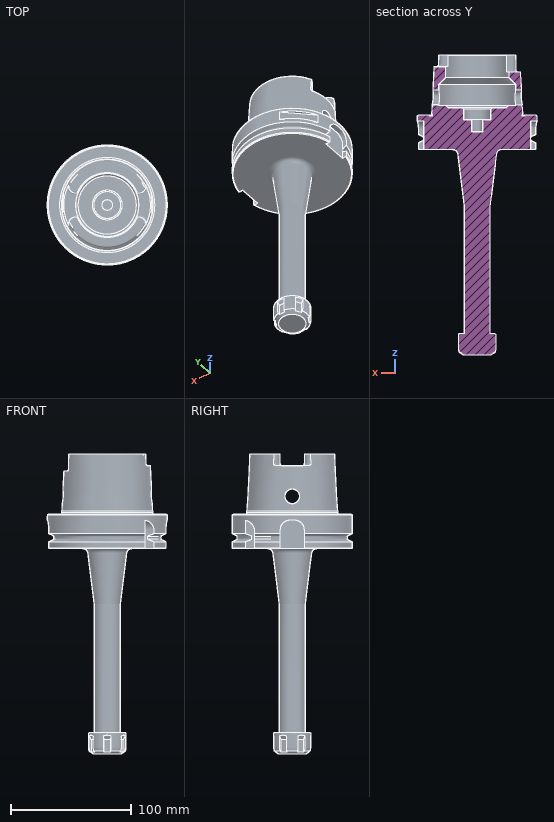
import math

import cadquery as cq


SHANK_TOP = 50.0
SHANK_BASE_RADIUS = 38.0
TAPER_SLOPE = 1 / 20
SHANK_TOP_FILLET = 1.2
COLLAR_RADIUS = 38.2
COLLAR_HEIGHT = 2.5
COLLAR_EDGE = 1.3
COLLAR_FOOT_RADIUS = 37.6
FACE_RECESS_RADIUS = 39.6
FACE_RECESS_DEPTH = 0.8

BORE_RADIUS = 26.3
BORE_RIM_CHAMFER = 0.7
BORE_STRAIGHT_END = 31.0
UNDERCUT_RADIUS = 32.0
BORE_FLOOR = 8.0
FLOOR_RECESS_RADIUS = 24.2
FLOOR_RECESS_DEPTH = 2.0
WELL_RADIUS = 11.2
WELL_CHAMFER = 1.2
WELL_DEPTH = 10.0
COOLANT_RADIUS = 4.4
COOLANT_DEPTH = 10.0
CROSS_HOLE_DIAMETER = 12.0
CROSS_HOLE_HEIGHT = 14.6

NOTCH_WIDTH = 20.0
NOTCH_INNER_X = 20.0
NOTCH_SHOULDER_X = 32.3
NOTCH_CORNER_RADIUS = 6.0
NOTCH_FLOOR_FILLET = 1.8
NOTCH_FLOOR_LEFT = 35.7
NOTCH_FLOOR_RIGHT = 40.2

FLANGE_RADIUS = 50.0
FLANGE_BOTTOM = -29.0
FLANGE_TOP_CHAMFER = 1.0
FLANGE_BOTTOM_CHAMFER = 0.7
GROOVE_MIDDLE = -19.8
GROOVE_MOUTH = 6.8
GROOVE_FLOOR_WIDTH = 2.8
GROOVE_FLOOR_RADIUS = 46.0
GROOVE_FILLET = 0.8

KEYWAY_WIDTH_LEFT = 22.2
KEYWAY_WIDTH_RIGHT = 20.0
KEYWAY_TOP = -5.2
KEYWAY_CORNER_RADIUS = 8.0
KEYWAY_FLOOR_X = 44.7
SIDE_NOTCH_FLOOR_X = 31.3
SIDE_NOTCH_WALL_Y = -31.3
SIDE_NOTCH_RADIUS = 9.5
SIDE_NOTCH_TOP = -5.2
LABEL_DISTANCE = 47.3
LABEL_LENGTH = 32.5
LABEL_TOP = -4.2
LABEL_HEIGHT = 8.3
LABEL_ANGLE = 135.0

NECK_FILLET = 4.2
NECK_RADIUS = 16.2
STEM_RADIUS = 11.0
STEM_CONE_END = -75.0

NUT_TOP = -181.9
NUT_BOTTOM = -200.0
NUT_RADIUS = 15.8
NUT_TOP_FILLET = 1.5
NUT_LOWER_EDGE = -195.0
NUT_SHOULDER = -197.3
NUT_SHOULDER_RADIUS = 15.3
NUT_BOTTOM_RADIUS = 11.4
NUT_SLOT_COUNT = 6
NUT_SLOT_WIDTH = 6.9
NUT_SLOT_FLOOR_WIDTH = 5.4
NUT_SLOT_FLOOR = 13.8
NUT_SLOT_TOP = -184.2
NUT_SLOT_RUNOUT = 3.7
NUT_SLOT_FIRST_ANGLE = -90.0
NUT_SLOT_OVERSHOOT = 1.5

CLEARANCE = 10.0


def shank_radius(height):
    return SHANK_BASE_RADIUS - TAPER_SLOPE * height


def make_body():
    """Revolve the solid outer shape: shank, flange, stem and nut."""
    neck_bottom = FLANGE_BOTTOM - NECK_FILLET
    neck_bevel = NECK_FILLET * (1 - math.sqrt(0.5))
    nut_bevel = NUT_TOP_FILLET * (1 - math.sqrt(0.5))
    groove_top = GROOVE_MIDDLE + GROOVE_MOUTH / 2
    groove_bottom = GROOVE_MIDDLE - GROOVE_MOUTH / 2
    floor_top = GROOVE_MIDDLE + GROOVE_FLOOR_WIDTH / 2
    floor_bottom = GROOVE_MIDDLE - GROOVE_FLOOR_WIDTH / 2
    profile = (
        cq.Workplane("XZ")
        .moveTo(0, SHANK_TOP)
        .lineTo(shank_radius(SHANK_TOP), SHANK_TOP)
        .lineTo(shank_radius(COLLAR_HEIGHT), COLLAR_HEIGHT)
        .lineTo(COLLAR_RADIUS, COLLAR_HEIGHT)
        .lineTo(COLLAR_RADIUS, COLLAR_EDGE)
        .lineTo(COLLAR_FOOT_RADIUS, 0)
        .lineTo(COLLAR_FOOT_RADIUS, -FACE_RECESS_DEPTH)
        .lineTo(FACE_RECESS_RADIUS, -FACE_RECESS_DEPTH)
        .lineTo(FACE_RECESS_RADIUS, 0)
        .lineTo(FLANGE_RADIUS - FLANGE_TOP_CHAMFER, 0)
        .lineTo(FLANGE_RADIUS, -FLANGE_TOP_CHAMFER)
        .lineTo(FLANGE_RADIUS, groove_top)
        .lineTo(GROOVE_FLOOR_RADIUS, floor_top)
        .lineTo(GROOVE_FLOOR_RADIUS, floor_bottom)
        .lineTo(FLANGE_RADIUS, groove_bottom)
        .lineTo(FLANGE_RADIUS, FLANGE_BOTTOM + FLANGE_BOTTOM_CHAMFER)
        .lineTo(FLANGE_RADIUS - FLANGE_BOTTOM_CHAMFER, FLANGE_BOTTOM)
        .lineTo(NECK_RADIUS + NECK_FILLET, FLANGE_BOTTOM)
        .threePointArc(
            (NECK_RADIUS + neck_bevel, FLANGE_BOTTOM - neck_bevel),
            (NECK_RADIUS, neck_bottom),
        )
        .lineTo(STEM_RADIUS, STEM_CONE_END)
        .lineTo(STEM_RADIUS, NUT_TOP)
        .lineTo(NUT_RADIUS - NUT_TOP_FILLET, NUT_TOP)
        .threePointArc(
            (NUT_RADIUS - nut_bevel, NUT_TOP - nut_bevel),
            (NUT_RADIUS, NUT_TOP - NUT_TOP_FILLET),
        )
        .lineTo(NUT_RADIUS, NUT_LOWER_EDGE)
        .lineTo(NUT_SHOULDER_RADIUS, NUT_SHOULDER)
        .lineTo(NUT_BOTTOM_RADIUS, NUT_BOTTOM)
        .lineTo(0, NUT_BOTTOM)
        .close()
    )
    body = profile.revolve(360, (0, 0), (0, 1))
    groove_corners = cq.selectors.BoxSelector(
        (-CLEARANCE, -CLEARANCE, floor_bottom - GROOVE_FILLET),
        (CLEARANCE, CLEARANCE, floor_top + GROOVE_FILLET),
    )
    return body.edges(groove_corners).fillet(GROOVE_FILLET)


def make_bore():
    """Revolve the stepped, undercut bore that opens at the shank top."""
    undercut_top = BORE_STRAIGHT_END - (UNDERCUT_RADIUS - BORE_RADIUS)
    recess_floor = BORE_FLOOR - FLOOR_RECESS_DEPTH
    well_floor = recess_floor - WELL_DEPTH
    coolant_end = well_floor - COOLANT_DEPTH
    profile = (
        cq.Workplane("XZ")
        .moveTo(0, SHANK_TOP)
        .lineTo(BORE_RADIUS + BORE_RIM_CHAMFER, SHANK_TOP)
        .lineTo(BORE_RADIUS, SHANK_TOP - BORE_RIM_CHAMFER)
        .lineTo(BORE_RADIUS, BORE_STRAIGHT_END)
        .lineTo(UNDERCUT_RADIUS, undercut_top)
        .lineTo(UNDERCUT_RADIUS, BORE_FLOOR)
        .lineTo(FLOOR_RECESS_RADIUS + FLOOR_RECESS_DEPTH, BORE_FLOOR)
        .lineTo(FLOOR_RECESS_RADIUS, recess_floor)
        .lineTo(WELL_RADIUS + WELL_CHAMFER, recess_floor)
        .lineTo(WELL_RADIUS, recess_floor - WELL_CHAMFER)
        .lineTo(WELL_RADIUS, well_floor)
        .lineTo(COOLANT_RADIUS, well_floor)
        .lineTo(COOLANT_RADIUS, coolant_end)
        .lineTo(0, coolant_end)
        .close()
    )
    return profile.revolve(360, (0, 0), (0, 1))


def make_cross_hole():
    return (
        cq.Workplane("YZ")
        .center(0, CROSS_HOLE_HEIGHT)
        .circle(CROSS_HOLE_DIAMETER / 2)
        .extrude(FLANGE_RADIUS, both=True)
    )


def make_drive_notch(floor, side):
    """Rim notch that flares outwards round the arm ends; side is +1 for +X and -1 for -X."""
    half = NOTCH_WIDTH / 2
    corner_x = NOTCH_SHOULDER_X - NOTCH_CORNER_RADIUS
    corner_y = half + NOTCH_CORNER_RADIUS
    mid_x = corner_x + NOTCH_CORNER_RADIUS * math.sqrt(0.5)
    mid_y = corner_y - NOTCH_CORNER_RADIUS * math.sqrt(0.5)
    end_y = corner_y + CLEARANCE
    end_x = SHANK_BASE_RADIUS + CLEARANCE
    cutter = (
        cq.Workplane("XY", origin=(0, 0, floor))
        .moveTo(NOTCH_INNER_X, -half)
        .lineTo(corner_x, -half)
        .threePointArc((mid_x, -mid_y), (NOTCH_SHOULDER_X, -corner_y))
        .lineTo(NOTCH_SHOULDER_X, -end_y)
        .lineTo(end_x, -end_y)
        .lineTo(end_x, end_y)
        .lineTo(NOTCH_SHOULDER_X, end_y)
        .lineTo(NOTCH_SHOULDER_X, corner_y)
        .threePointArc((mid_x, mid_y), (corner_x, half))
        .lineTo(NOTCH_INNER_X, half)
        .close()
        .extrude(SHANK_TOP - floor + CLEARANCE)
        .faces("<Z")
        .edges()
        .fillet(NOTCH_FLOOR_FILLET)
    )
    if side < 0:
        cutter = cutter.mirror("YZ")
    return cutter


def make_keyway(width, side):
    """Flange keyway, open at the bottom, rounded at the top; side is +1 for +X and -1 for -X."""
    bottom = FLANGE_BOTTOM - CLEARANCE
    height = KEYWAY_TOP - bottom
    cutter = (
        cq.Workplane("XY")
        .box(CLEARANCE, width, height, centered=(False, True, False))
        .translate((KEYWAY_FLOOR_X, 0, bottom))
        .edges("|X and >Z")
        .fillet(KEYWAY_CORNER_RADIUS)
    )
    if side < 0:
        cutter = cutter.mirror("YZ")
    return cutter


def make_side_notch():
    """Round-topped notch milled along X into the +X, -Y quarter of the flange."""
    centre_y = SIDE_NOTCH_WALL_Y - SIDE_NOTCH_RADIUS
    centre_z = SIDE_NOTCH_TOP - SIDE_NOTCH_RADIUS
    bottom = FLANGE_BOTTOM - CLEARANCE
    return (
        cq.Workplane("YZ", origin=(SIDE_NOTCH_FLOOR_X, 0, 0))
        .moveTo(SIDE_NOTCH_WALL_Y, bottom)
        .lineTo(SIDE_NOTCH_WALL_Y, centre_z)
        .threePointArc((centre_y, SIDE_NOTCH_TOP), (centre_y - SIDE_NOTCH_RADIUS, centre_z))
        .lineTo(centre_y - SIDE_NOTCH_RADIUS, bottom)
        .close()
        .extrude(FLANGE_RADIUS)
    )


def make_label_flat():
    """Shallow rectangular flat on the flange rim."""
    return (
        cq.Workplane("XY")
        .box(CLEARANCE, LABEL_LENGTH, LABEL_HEIGHT, centered=(False, True, False))
        .translate((LABEL_DISTANCE, 0, LABEL_TOP - LABEL_HEIGHT))
        .rotate((0, 0, 0), (0, 0, 1), LABEL_ANGLE)
    )


def make_nut_slot(angle):
    """Wrench slot with flared walls and a sloping upper end."""
    half_floor = NUT_SLOT_FLOOR_WIDTH / 2
    half_mouth = NUT_SLOT_WIDTH / 2
    depth = NUT_RADIUS - NUT_SLOT_FLOOR
    bottom = NUT_BOTTOM - CLEARANCE
    outer = NUT_SLOT_FLOOR + depth * NUT_SLOT_OVERSHOOT
    outer_half = half_floor + (half_mouth - half_floor) * NUT_SLOT_OVERSHOOT
    outline = (
        cq.Workplane("XY", origin=(0, 0, bottom))
        .polyline(
            [
                (NUT_SLOT_FLOOR, -half_floor),
                (outer, -outer_half),
                (outer, outer_half),
                (NUT_SLOT_FLOOR, half_floor),
            ]
        )
        .close()
        .extrude(NUT_SLOT_TOP + NUT_SLOT_RUNOUT - bottom)
    )
    side = (
        cq.Workplane("XZ")
        .polyline(
            [
                (NUT_SLOT_FLOOR, bottom),
                (outer, bottom),
                (outer, NUT_SLOT_TOP + NUT_SLOT_RUNOUT * (NUT_SLOT_OVERSHOOT - 1)),
                (NUT_SLOT_FLOOR, NUT_SLOT_TOP - NUT_SLOT_RUNOUT),
            ]
        )
        .close()
        .extrude(NUT_SLOT_WIDTH, both=True)
    )
    return outline.intersect(side).rotate((0, 0, 0), (0, 0, 1), angle)


result = make_body()
result = result.cut(make_drive_notch(NOTCH_FLOOR_LEFT, -1))
result = result.cut(make_drive_notch(NOTCH_FLOOR_RIGHT, 1))
result = result.faces(">Z").edges().fillet(SHANK_TOP_FILLET)
result = result.cut(make_bore()).cut(make_cross_hole())
result = result.cut(make_keyway(KEYWAY_WIDTH_LEFT, -1))
result = result.cut(make_keyway(KEYWAY_WIDTH_RIGHT, 1))
result = result.cut(make_side_notch()).cut(make_label_flat())
for slot in range(NUT_SLOT_COUNT):
    slot_angle = NUT_SLOT_FIRST_ANGLE + slot * 360 / NUT_SLOT_COUNT
    result = result.cut(make_nut_slot(slot_angle))